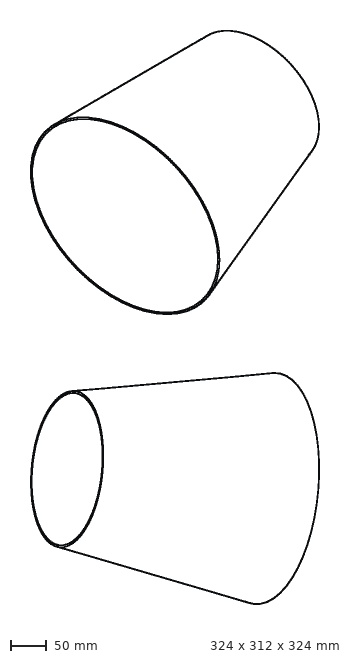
import cadquery as cq

large_diameter = 324.0
small_diameter = 219.0
length = 312.0
wall = 3.0

large_radius = large_diameter / 2
small_radius = small_diameter / 2
front_y = -length / 2
back_y = length / 2

wall_section = (
    cq.Workplane("XY")
    .moveTo(large_radius - wall, front_y)
    .lineTo(large_radius, front_y)
    .lineTo(small_radius, back_y)
    .lineTo(small_radius - wall, back_y)
    .close()
)

result = wall_section.revolve(360, (0, 0, 0), (0, 1, 0))